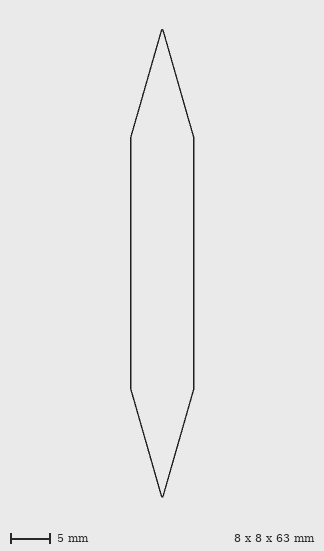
import math

import cadquery as cq

total_length = 63.0
body_diameter = 8.0
tip_diameter = 0.2
point_angle = 30.0

body_radius = body_diameter / 2
tip_radius = tip_diameter / 2
point_length = (body_radius - tip_radius) / math.tan(math.radians(point_angle / 2))
half_length = total_length / 2
half_body = half_length - point_length


def double_pointed_pin():
    """Revolve the half profile of a round body tapering to a tiny flat tip at each end."""
    profile = (
        cq.Workplane("XZ")
        .moveTo(0, -half_length)
        .lineTo(tip_radius, -half_length)
        .lineTo(body_radius, -half_body)
        .lineTo(body_radius, half_body)
        .lineTo(tip_radius, half_length)
        .lineTo(0, half_length)
        .close()
    )
    return profile.revolve(360, (0, 0, 0), (0, 1, 0))


result = double_pointed_pin()